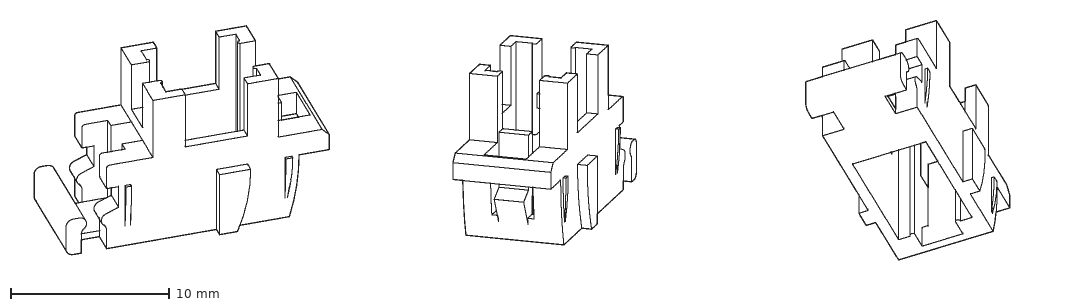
import cadquery as cq
import math


LENGTH = 17.5
HEIGHT = 10.5
BODY_WIDTH = 6.51
LUG_SPAN = 7.8

FLANGE_BOTTOM = 4.5
REAR_FLANGE_TOP = 6.1
REAR_FLANGE_CHAMFER = 0.49
FRONT_FLANGE_TOP = 6.23
FRONT_FLANGE_FILLET = 0.21
SIDE_WALL_TOP = 6.6
FRONT_FACE = 2.7
NECK_FACE = 3.5
NECK_BOTTOM = 2.95
FRONT_POST_START = 5.78
FRONT_POST_END = 7.93
REAR_POST_START = 12.05
REAR_POST_END = 14.1
REAR_WALL_TOP_FACE = 15.49
REAR_WALL_BOTTOM_FACE = 14.84

SNAP_RADIUS = 0.49
SNAP_REACH = 0.35
SNAP_CENTER_Z = 2.17
SNAP_RAMP_ANGLE = 20.0
HOOK_THICKNESS = 1.02
TONGUE_THICKNESS = 0.45
TONGUE_WIDTH = 3.54

WINDOW_WIDTH = 5.04
WINDOW_FRONT = 6.88
WINDOW_REAR = 13.16
REAR_SLOT_WIDTH = 2.8
REAR_SLOT_END = 16.82
FRONT_SLOT_WIDTH = 2.28
FRONT_SLOT_STEP = 4.41
CROSSBAR_TOP = 7.18

FRONT_BEAD_RADIUS = 0.15
REAR_BEAD_RADIUS = 0.18
REAR_BEAD_OFFSET = 0.15

ARM_WIDTH = 1.96
ARM_FRONT = 14.28
ARM_BACK = 15.07
ARM_TOP = 7.12
BARB_TIP_Y = 16.05
BARB_TIP_Z = 2.98
BARB_ANGLE = 27.2
BRIDGE_TOP = 1.66

LUG_FRONT = 10.0
LUG_REAR = 12.05
LUG_REAR_BOTTOM = 11.18
RIB_HEIGHT = 0.2
RIB_BOTTOM = 1.47
FRONT_RIB_START = 3.92
FRONT_RIB_END = 4.29
REAR_RIB_START = 14.55
REAR_RIB_END = 15.0


def box(width, y_start, y_end, z_start, z_end):
    """Block centred on X = 0."""
    depth = y_end - y_start
    height = z_end - z_start
    block = cq.Workplane("XY").box(width, depth, height, centered=(True, False, False))
    return block.translate((0, y_start, z_start))


def extrude_across(outline, width):
    """Extrude a YZ outline symmetrically about X = 0."""
    return outline.extrude(width / 2, both=True)


def both_sides(solid):
    return solid.union(solid.mirror("YZ"))


def curve_points(depth, inset):
    """Middle and end offsets of an arc that starts vertical and moves in by inset over depth."""
    radius = (depth**2 + inset**2) / (2 * inset)
    half_angle = math.asin(depth / radius) / 2
    middle = (radius * (1 - math.cos(half_angle)), radius * math.sin(half_angle))
    return middle, (inset, depth)


SNAP_SETBACK = SNAP_RADIUS - SNAP_REACH
BLEND_RUN = SNAP_RADIUS + SNAP_SETBACK
BLEND_DROP = math.sqrt((2 * SNAP_RADIUS) ** 2 - BLEND_RUN**2)
BLEND_ANGLE = math.atan2(BLEND_DROP, BLEND_RUN)


def snap_point(face_y, direction, angle, blend=False):
    """Point on the convex arc, or on the concave blend arc, of a bead on the face at face_y.

    direction is the sign of Y the bead points to; angle is measured up from that direction
    on the convex arc, and up from the opposite direction on the blend arc.
    """
    if blend:
        center_y = face_y + direction * SNAP_RADIUS
        center_z = SNAP_CENTER_Z - BLEND_DROP
        side = -direction
    else:
        center_y = face_y - direction * SNAP_SETBACK
        center_z = SNAP_CENTER_Z
        side = direction
    return (center_y + side * SNAP_RADIUS * math.cos(angle), center_z + SNAP_RADIUS * math.sin(angle))


def body_blank():
    """Side outline of the body, full width and without openings."""
    ramp_angle = math.radians(90 - SNAP_RAMP_ANGLE)
    rear_mid, rear_end = curve_points(FLANGE_BOTTOM, REAR_WALL_TOP_FACE - REAR_WALL_BOTTOM_FACE)
    outline = (
        cq.Workplane("YZ")
        .moveTo(FRONT_FACE, 0)
        .lineTo(*snap_point(FRONT_FACE, -1, 0, blend=True))
        .threePointArc(
            snap_point(FRONT_FACE, -1, BLEND_ANGLE / 2, blend=True),
            snap_point(FRONT_FACE, -1, -BLEND_ANGLE),
        )
        .threePointArc(snap_point(FRONT_FACE, -1, 0), snap_point(FRONT_FACE, -1, ramp_angle))
        .lineTo(NECK_FACE, NECK_BOTTOM)
        .lineTo(NECK_FACE, FLANGE_BOTTOM)
        .lineTo(FRONT_FACE, FLANGE_BOTTOM)
        .lineTo(FRONT_FACE, FRONT_FLANGE_TOP - FRONT_FLANGE_FILLET)
        .radiusArc((FRONT_FACE + FRONT_FLANGE_FILLET, FRONT_FLANGE_TOP), FRONT_FLANGE_FILLET)
        .lineTo(FRONT_POST_START, FRONT_FLANGE_TOP)
        .lineTo(FRONT_POST_START, HEIGHT)
        .lineTo(FRONT_POST_END, HEIGHT)
        .lineTo(FRONT_POST_END, SIDE_WALL_TOP)
        .lineTo(REAR_POST_START, SIDE_WALL_TOP)
        .lineTo(REAR_POST_START, HEIGHT)
        .lineTo(REAR_POST_END, HEIGHT)
        .lineTo(REAR_POST_END, REAR_FLANGE_TOP)
        .lineTo(LENGTH - REAR_FLANGE_CHAMFER, REAR_FLANGE_TOP)
        .lineTo(LENGTH, REAR_FLANGE_TOP - REAR_FLANGE_CHAMFER)
        .lineTo(LENGTH, FLANGE_BOTTOM)
        .lineTo(REAR_WALL_TOP_FACE, FLANGE_BOTTOM)
        .threePointArc(
            (REAR_WALL_TOP_FACE - rear_mid[0], FLANGE_BOTTOM - rear_mid[1]),
            (REAR_WALL_TOP_FACE - rear_end[0], FLANGE_BOTTOM - rear_end[1]),
        )
        .close()
    )
    return extrude_across(outline, BODY_WIDTH)


def openings():
    """Central window, lower pocket, and the slots through both ends."""
    window = box(WINDOW_WIDTH, WINDOW_FRONT, WINDOW_REAR, 0, HEIGHT)
    pocket = box(WINDOW_WIDTH, FRONT_POST_START, WINDOW_REAR, 0, FLANGE_BOTTOM)
    rear_slot = box(REAR_SLOT_WIDTH, WINDOW_REAR, REAR_SLOT_END, 0, HEIGHT)
    front_slot = box(FRONT_SLOT_WIDTH, 0, WINDOW_FRONT, 0, FRONT_FLANGE_TOP)
    front_slot_wide = box(TONGUE_WIDTH, 0, FRONT_SLOT_STEP, 0, FRONT_FLANGE_TOP)
    post_gap = box(FRONT_SLOT_WIDTH, FRONT_POST_START, WINDOW_FRONT, CROSSBAR_TOP, HEIGHT)
    return window.union(pocket).union(rear_slot).union(front_slot).union(front_slot_wide).union(post_gap)


def post_beads(x, y, radius, bottom):
    """Pair of round beads running from the given level up the inner faces of the posts."""
    bead = cq.Workplane("XY", origin=(x, y, bottom)).circle(radius).extrude(HEIGHT - bottom)
    return both_sides(bead)


def front_beads():
    """Beads tangent to the sides of the front slot, ending at the pocket below."""
    x = FRONT_SLOT_WIDTH / 2 + FRONT_BEAD_RADIUS
    return post_beads(x, WINDOW_FRONT, FRONT_BEAD_RADIUS, FLANGE_BOTTOM)


def rear_beads():
    """Full-height beads trimmed by the sides of the rear slot to a sharp edge."""
    x = REAR_SLOT_WIDTH / 2 + REAR_BEAD_OFFSET
    slot = box(REAR_SLOT_WIDTH, WINDOW_FRONT, REAR_SLOT_END, 0, HEIGHT)
    return post_beads(x, WINDOW_REAR, REAR_BEAD_RADIUS, 0).cut(slot)


def hook():
    """Upright full-width hook whose bead faces the body."""
    outline = (
        cq.Workplane("YZ")
        .moveTo(HOOK_THICKNESS, 0)
        .lineTo(*snap_point(HOOK_THICKNESS, 1, 0, blend=True))
        .threePointArc(
            snap_point(HOOK_THICKNESS, 1, BLEND_ANGLE / 2, blend=True),
            snap_point(HOOK_THICKNESS, 1, -BLEND_ANGLE),
        )
        .threePointArc(
            snap_point(HOOK_THICKNESS, 1, 0),
            snap_point(HOOK_THICKNESS, 1, math.pi / 2),
        )
        .lineTo(SNAP_RADIUS, SNAP_CENTER_Z + SNAP_RADIUS)
        .radiusArc((0, SNAP_CENTER_Z), -SNAP_RADIUS)
        .lineTo(0, SNAP_RADIUS)
        .radiusArc((SNAP_RADIUS, 0), -SNAP_RADIUS)
        .close()
    )
    return extrude_across(outline, BODY_WIDTH)


def tongue():
    """Thin floor strip carrying the hook; it narrows where the front slot narrows."""
    wide = box(TONGUE_WIDTH, SNAP_RADIUS, FRONT_SLOT_STEP, 0, TONGUE_THICKNESS)
    narrow = box(FRONT_SLOT_WIDTH, FRONT_SLOT_STEP, FRONT_POST_START, 0, TONGUE_THICKNESS)
    return wide.union(narrow)


def spring_arm():
    """Upright arm with a barb pointing to the rear."""
    slope = math.tan(math.radians(BARB_ANGLE))
    outline = cq.Workplane("YZ").polyline(
        [
            (ARM_FRONT, 0),
            (BARB_TIP_Y - BARB_TIP_Z * slope, 0),
            (BARB_TIP_Y, BARB_TIP_Z),
            (ARM_BACK, BARB_TIP_Z + (BARB_TIP_Y - ARM_BACK) * slope),
            (ARM_BACK, ARM_TOP),
            (ARM_FRONT, ARM_TOP),
        ]
    ).close()
    return extrude_across(outline, ARM_WIDTH)


def tapered_block(y_front, y_rear, bottom, inset, width):
    """Block under the flange level whose rear side curves forward by inset towards its bottom."""
    middle, end = curve_points(FLANGE_BOTTOM - bottom, inset)
    outline = (
        cq.Workplane("YZ")
        .moveTo(y_front, bottom)
        .lineTo(y_front, FLANGE_BOTTOM)
        .lineTo(y_rear, FLANGE_BOTTOM)
        .threePointArc((y_rear - middle[0], FLANGE_BOTTOM - middle[1]), (y_rear - end[0], bottom))
        .close()
    )
    return extrude_across(outline, width)


def rib_envelope():
    """Cross-section whose sides curve in from the rib height to the wall at the rib bottom."""
    middle, end = curve_points(FLANGE_BOTTOM - RIB_BOTTOM, RIB_HEIGHT)
    outer = BODY_WIDTH / 2 + RIB_HEIGHT
    side = (
        cq.Workplane("XZ")
        .moveTo(WINDOW_WIDTH / 2, FLANGE_BOTTOM)
        .lineTo(outer, FLANGE_BOTTOM)
        .threePointArc((outer - middle[0], FLANGE_BOTTOM - middle[1]), (outer - end[0], RIB_BOTTOM))
        .lineTo(WINDOW_WIDTH / 2, RIB_BOTTOM)
        .close()
        .extrude(-LENGTH)
    )
    return both_sides(side)


def crush_ribs():
    rib_span = BODY_WIDTH + 2 * RIB_HEIGHT
    taper_height = FLANGE_BOTTOM - RIB_BOTTOM
    wall_inset = REAR_WALL_TOP_FACE - REAR_WALL_BOTTOM_FACE
    rear_inset = wall_inset * (taper_height / FLANGE_BOTTOM) ** 2
    rear = tapered_block(REAR_RIB_START, REAR_RIB_END, RIB_BOTTOM, rear_inset, rib_span)
    front = box(rib_span, FRONT_RIB_START, FRONT_RIB_END, RIB_BOTTOM, FLANGE_BOTTOM)
    return rear.union(front).intersect(rib_envelope())


blank = body_blank()
bridge = blank.intersect(box(REAR_SLOT_WIDTH, ARM_FRONT, LENGTH, 0, BRIDGE_TOP))
lugs = tapered_block(LUG_FRONT, LUG_REAR, 0, LUG_REAR - LUG_REAR_BOTTOM, LUG_SPAN)

result = (
    blank.union(lugs)
    .union(crush_ribs())
    .cut(openings())
    .union(front_beads())
    .union(rear_beads())
    .union(bridge)
    .union(spring_arm())
    .union(tongue())
    .union(hook())
)